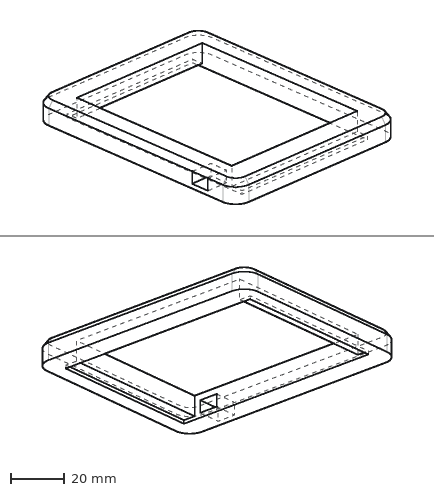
import cadquery as cq

length = 106.0
width = 86.0
height = 10.0
corner_radius = 6.9

bevel_inset = 2.0
bevel_drop = 2.8

window_length = 82.0
window_width = 66.2

seat_height = 1.5
seat_reach = 5.3

port_length = 8.3
port_height = 5.2
port_right_border = 14.8


def block(size_x, size_y, size_z):
    """Box standing on Z = 0, centred on X and Y."""
    return cq.Workplane("XY").box(size_x, size_y, size_z, centered=(True, True, False))


def make_body():
    """Rounded block with its top edge bevelled."""
    body = block(length, width, height).edges("|Z").fillet(corner_radius)
    return body.faces(">Z").chamfer(bevel_drop, bevel_inset)


def make_window():
    """Cutter for the opening that passes through the full height."""
    return block(window_length, window_width, height)


def make_seat():
    """Cutter that recesses the underside beyond both ends of the window."""
    return block(window_length + 2 * seat_reach, window_width, seat_height)


def make_port():
    """Cutter for the rectangular port from the front wall into the window."""
    front_border = (width - window_width) / 2
    port_x = length / 2 - port_right_border - port_length / 2
    port_y = (front_border - width) / 2
    port_bottom = height - bevel_drop - port_height
    port = block(port_length, front_border, port_height)
    return port.translate((port_x, port_y, port_bottom))


result = make_body().cut(make_window()).cut(make_seat()).cut(make_port())